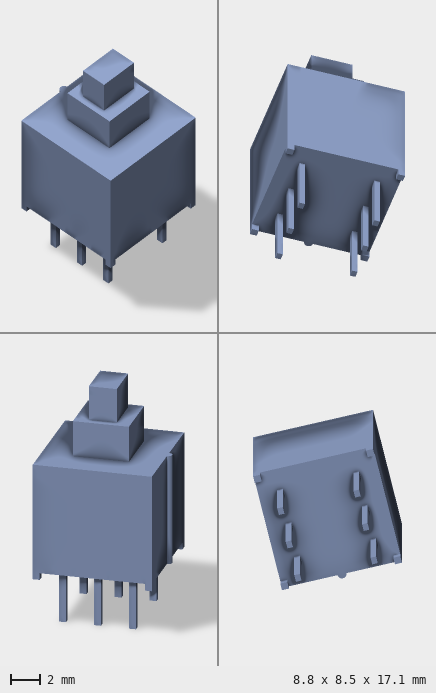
import cadquery as cq

housing_side = 8.5
housing_height = 8.0
foot_side = 0.5
rib_radius = 0.3

collar_side = 4.0
collar_height = 2.6
button_width = 2.0
button_depth = 3.0
button_height = 2.5

pin_width = 0.5
pin_depth = 0.4
pin_length = 4.0
pin_pitch = 2.5
row_spacing = 5.4


def block(width, depth, height, bottom, x=0, y=0):
    """Upright block centred on (x, y), rising from the given bottom level."""
    return (
        cq.Workplane("XY")
        .box(width, depth, height, centered=(True, True, False))
        .translate((x, y, bottom))
    )


housing = block(housing_side, housing_side, housing_height, 0)

rib = (
    cq.Workplane("XY")
    .center(-housing_side / 2, 0)
    .circle(rib_radius)
    .extrude(housing_height)
)

collar = block(collar_side, collar_side, collar_height, housing_height)
button = block(button_width, button_depth, button_height, housing_height + collar_height)
result = housing.union(rib).union(collar).union(button)

foot_offset = (housing_side - foot_side) / 2
for x in (-foot_offset, foot_offset):
    for y in (-foot_offset, foot_offset):
        result = result.union(block(foot_side, foot_side, foot_side, -foot_side, x, y))

for x in (-pin_pitch, 0, pin_pitch):
    for y in (-row_spacing / 2, row_spacing / 2):
        result = result.union(block(pin_width, pin_depth, pin_length, -pin_length, x, y))